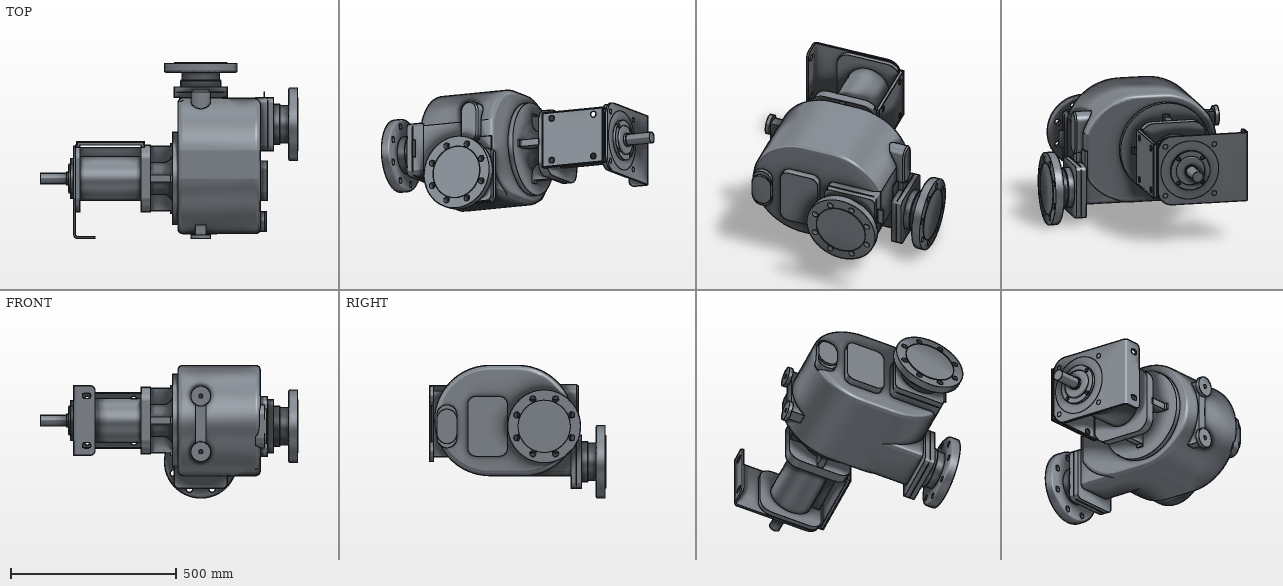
import cadquery as cq
import math


SHAFT_DIAMETER = 33
COLLAR_DIAMETER = 39
CAP_DIAMETER = 88
CAP_FILLET = 3
COVER_DIAMETER = 121
COLLAR_X = 79
CAP_X = 86
COVER_X = 92
COVER_SCREW_CIRCLE = 106
COVER_SCREW_DIAMETER = 12

BRACKET_X = 101
BRACKET_THICKNESS = 6
BRACKET_HALF_HEIGHT = 105.5
BRACKET_TOP_Y = 98
FOOT_Y = -182
FOOT_LENGTH = 65
BEND_RADIUS = 12
BRACKET_CORNER = 43
FOOT_CORNER = 16
FOOT_SLOT_LENGTH = 26
FOOT_SLOT_WIDTH = 16
FOOT_SLOT_X = 140
FOOT_SLOT_Z = 75

SPIGOT_DIAMETER = 180
STUD_DIAMETER = 15
STUD_OFFSET = 76
FLANGE_HALF_SIDE = 101
FLANGE_CORNER = 41
FRONT_FLANGE_X = BRACKET_X + BRACKET_THICKNESS
FRONT_FLANGE_THICKNESS = 12.5
BARREL_RADIUS = 66.5
WEB_OUTER_Y = 94
WEB_THICKNESS = 10
REAR_FLANGE_X = 305
REAR_FLANGE_END_X = 333

NECK_RADIUS = 49.5
NECK_END_X = 371
ADAPTER_DISC_X = 400
ADAPTER_DISC_RADIUS = 140
RIB_HALF_SPAN = 98
RIB_THICKNESS = 20
RIB_END_PAD = 8
RIB_END_PAD_X = 394

GUARD_X = 110
GUARD_END_X = 315
GUARD_OUTER_Y = 112
GUARD_HALF_HEIGHT = 84
GUARD_SHEET = 2.5
GUARD_TAB_LENGTH = 9
GUARD_TAB_Y = 90
GUARD_HOLE_DIAMETER = 18
GUARD_HOLE_Z = 64.5
GUARD_HOLE_INSET = 32

CASING_X = 416
CASING_END_X = 665
CASING_RADIUS = 167
CASING_WALL_Y = 243
UPPER_ARC_Y = 84
LOWER_ARC_Y = 100
CASING_FILLET = 15

PORT_X = 485
PAD_DIAMETER = 60
PAD_FACE_Y = FOOT_Y
PAD_BACK_Y = -170
PAD_TOP_Z = 74
PAD_BOTTOM_Z = -94
PAD_HOLE_DIAMETER = 12
PAD_HOLE_DEPTH = 20
STRIP_WIDTH = 31
STRIP_BACK_Y = -100

DISCHARGE_Z = -124.5
DISCHARGE_END_Y = 350
SUCTION_Y = 164
SUCTION_Z = -17.5
SUCTION_END_X = 779.5
PLATE_SIDE = 161
PLATE_CORNER = 16
PIPE_FLANGE_DIAMETER = 220
RAISED_FACE_DIAMETER = 158
RAISED_FACE_HEIGHT = 2
PIPE_FLANGE_THICKNESS = 29
PIPE_FLANGE_FILLET = 6
PIPE_BOLT_CIRCLE = 180
PIPE_BOLT_DIAMETER = 18
PIPE_BOLT_COUNT = 8
PIPE_DIAMETER = 114
HUB_DIAMETER = 122
HUB_CHAMFER = 2
DISCHARGE_HUB_Y = 277
DISCHARGE_HUB_END_Y = 297
DISCHARGE_PLATE_Y = 245.5
DISCHARGE_JOINT_Y = 260.5
SUCTION_HUB_X = 705
SUCTION_HUB_END_X = 725
SUCTION_JOINT_X = 686
JOINT_GROOVE = 1.5
DISCHARGE_NECK_WIDTH = 130
DISCHARGE_NECK_Y = 100
FILLER_DIAMETER = 58
FILLER_FACE_Y = 267
FILLER_TOP_Z = 109
FILLER_BOTTOM_Z = -21
FILLER_CHAMFER = 5
BRIDGE_WIDTH = 40
GASKET_X = 676
GASKET_THICKNESS = 2
GASKET_TAB_Y = 262
GASKET_TAB_HEIGHT = 52

REAR_BOSS_Y = -7
REAR_BOSS_WIDTH = 120
REAR_BOSS_HEIGHT = 181
REAR_BOSS_CORNER = 25
REAR_BOSS_END_X = 686
PLUG_Y = -130
PLUG_WIDTH = 60
PLUG_BASE_HEIGHT = 130
PLUG_TOP_HEIGHT = 104
PLUG_BASE_X = 677
PLUG_END_X = 683.5


def x_plane(x):
    """Workplane at the given X, with local axes Y and Z, facing +X."""
    return cq.Workplane("YZ", origin=(x, 0, 0))


def y_plane(y):
    """Workplane at the given Y, with local axes -X and Z, facing +Y."""
    return cq.Workplane(cq.Plane(origin=(0, y, 0), xDir=(-1, 0, 0), normal=(0, 1, 0)))


def x_disc(start, end, diameter):
    return x_plane(start).circle(diameter / 2).extrude(end - start)


def box(x0, x1, y0, y1, z0, z1):
    return cq.Workplane("XY").box(x1 - x0, y1 - y0, z1 - z0, centered=False).translate((x0, y0, z0))


def square_flange(start, end):
    """Rounded square flange of the bearing housing, centred on the shaft axis."""
    side = 2 * FLANGE_HALF_SIDE
    return x_plane(start).rect(side, side).extrude(end - start).edges("|X").fillet(FLANGE_CORNER)


def studs(diameter, start, end):
    """Four round bars at the corners of the bearing housing flange."""
    return x_plane(start).rect(2 * STUD_OFFSET, 2 * STUD_OFFSET, forConstruction=True).vertices() \
        .circle(diameter / 2).extrude(end - start)


def make_shaft_end():
    shaft = x_disc(0, COVER_X, SHAFT_DIAMETER)
    collar = x_disc(COLLAR_X, COVER_X, COLLAR_DIAMETER)
    cap = x_disc(CAP_X, COVER_X, CAP_DIAMETER).faces("<X").edges().fillet(CAP_FILLET)
    cover = x_disc(COVER_X, BRACKET_X, COVER_DIAMETER)
    screws = x_plane(COVER_X).polarArray(COVER_SCREW_CIRCLE / 2, 45, 360, 4) \
        .circle(COVER_SCREW_DIAMETER / 2).extrude(BRACKET_X - COVER_X)
    return cover.cut(screws).union(cap).union(collar).union(shaft)


def make_bearing_housing():
    front_flange_end = FRONT_FLANGE_X + FRONT_FLANGE_THICKNESS
    spigot = x_disc(BRACKET_X, FRONT_FLANGE_X, SPIGOT_DIAMETER)
    barrel = x_disc(FRONT_FLANGE_X, REAR_FLANGE_END_X, 2 * BARREL_RADIUS)
    web = box(front_flange_end, REAR_FLANGE_X, 0, WEB_OUTER_Y, -WEB_THICKNESS / 2, WEB_THICKNESS / 2)
    return (
        spigot.union(studs(STUD_DIAMETER, BRACKET_X, FRONT_FLANGE_X))
        .union(square_flange(FRONT_FLANGE_X, front_flange_end))
        .union(barrel)
        .union(web)
        .union(square_flange(REAR_FLANGE_X, REAR_FLANGE_END_X))
    )


def make_adapter():
    """Flared neck, four ribs and the disc that closes the casing."""
    flare_radius = ADAPTER_DISC_X - NECK_END_X
    neck_and_disc = (
        cq.Workplane("XY")
        .moveTo(REAR_FLANGE_END_X, 0)
        .lineTo(REAR_FLANGE_END_X, NECK_RADIUS)
        .lineTo(NECK_END_X, NECK_RADIUS)
        .radiusArc((ADAPTER_DISC_X, NECK_RADIUS + flare_radius), -flare_radius)
        .lineTo(ADAPTER_DISC_X, ADAPTER_DISC_RADIUS)
        .lineTo(CASING_X, ADAPTER_DISC_RADIUS)
        .lineTo(CASING_X, 0)
        .close()
        .revolve(360, (0, 0, 0), (1, 0, 0))
    )
    adapter = neck_and_disc
    half = RIB_THICKNESS / 2
    for quarter in range(4):
        rib = box(REAR_FLANGE_END_X, ADAPTER_DISC_X, 0, RIB_HALF_SPAN, -half, half)
        pad = box(RIB_END_PAD_X, ADAPTER_DISC_X, 0, RIB_HALF_SPAN + RIB_END_PAD, -half, half)
        adapter = adapter.union(rib.union(pad).rotate((0, 0, 0), (1, 0, 0), 90 * quarter))
    return adapter


def wall_half_height(arc_y):
    """Height, from the axis level, at which an arc of the casing meets its flat +Y wall."""
    return math.sqrt(CASING_RADIUS**2 - (CASING_WALL_Y - arc_y) ** 2)


def make_casing():
    upper_z = wall_half_height(UPPER_ARC_Y)
    lower_z = wall_half_height(LOWER_ARC_Y)
    bow = CASING_RADIUS * math.sin(math.radians(45))
    return (
        x_plane(CASING_X)
        .moveTo(0, -CASING_RADIUS)
        .threePointArc((-CASING_RADIUS, 0), (0, CASING_RADIUS))
        .lineTo(UPPER_ARC_Y, CASING_RADIUS)
        .threePointArc((UPPER_ARC_Y + bow, bow), (CASING_WALL_Y, upper_z))
        .lineTo(CASING_WALL_Y, -lower_z)
        .threePointArc((LOWER_ARC_Y + bow, -bow), (LOWER_ARC_Y, -CASING_RADIUS))
        .close()
        .extrude(CASING_END_X - CASING_X)
        .faces("<X or >X")
        .edges()
        .fillet(CASING_FILLET)
    )


def make_side_pads():
    """Upright strip on the -Y side with a round pad near each end."""
    pad_centres = [(-PORT_X, PAD_TOP_Z), (-PORT_X, PAD_BOTTOM_Z)]
    reach = STRIP_WIDTH / 2
    strip = box(
        PORT_X - reach, PORT_X + reach, PAD_BACK_Y, STRIP_BACK_Y, PAD_BOTTOM_Z - reach, PAD_TOP_Z + reach
    )
    pads = y_plane(PAD_FACE_Y).pushPoints(pad_centres).circle(PAD_DIAMETER / 2).extrude(PAD_BACK_Y - PAD_FACE_Y)
    holes = y_plane(PAD_FACE_Y).pushPoints(pad_centres).circle(PAD_HOLE_DIAMETER / 2).extrude(PAD_HOLE_DEPTH)
    return strip.union(pads), holes


def make_pipe(plane_at, centre, plate, joint, hub, hub_end, end):
    """Square plates, hub, pipe and bolted flange along one axis, from `plate` out to `end`."""

    def disc(start, stop, diameter):
        return plane_at(start).center(*centre).circle(diameter / 2).extrude(stop - start)

    def square(start, stop, side):
        return plane_at(start).center(*centre).rect(side, side).extrude(stop - start)

    face = end - RAISED_FACE_HEIGHT
    flange_start = face - PIPE_FLANGE_THICKNESS + RAISED_FACE_HEIGHT
    groove_side = PLATE_SIDE - 2 * JOINT_GROOVE
    plates = square(plate, hub, PLATE_SIDE)
    corner_axis = "|Y" if plane_at is y_plane else "|X"
    plates = plates.edges(corner_axis).fillet(PLATE_CORNER)
    joint_end = joint + JOINT_GROOVE
    groove = square(joint, joint_end, PLATE_SIDE + 2 * JOINT_GROOVE).cut(square(joint, joint_end, groove_side))
    bolts = (
        plane_at(flange_start)
        .center(*centre)
        .polarArray(PIPE_BOLT_CIRCLE / 2, 180 / PIPE_BOLT_COUNT, 360, PIPE_BOLT_COUNT)
        .circle(PIPE_BOLT_DIAMETER / 2)
        .extrude(PIPE_FLANGE_THICKNESS)
    )
    inner_side = "<" + corner_axis[-1]
    outer_side = ">" + corner_axis[-1]
    flange = disc(flange_start, face, PIPE_FLANGE_DIAMETER)
    flange = flange.faces(inner_side).edges().fillet(PIPE_FLANGE_FILLET)
    hub_ring = disc(hub, hub_end, HUB_DIAMETER).faces(outer_side).edges().chamfer(HUB_CHAMFER)
    return (
        plates.cut(groove)
        .union(hub_ring)
        .union(disc(hub, flange_start, PIPE_DIAMETER))
        .union(flange.cut(bolts))
        .union(disc(face, end, RAISED_FACE_DIAMETER))
    )


def make_discharge():
    pipe = make_pipe(
        y_plane, (-PORT_X, DISCHARGE_Z), DISCHARGE_PLATE_Y, DISCHARGE_JOINT_Y,
        DISCHARGE_HUB_Y, DISCHARGE_HUB_END_Y, DISCHARGE_END_Y,
    )
    half = DISCHARGE_NECK_WIDTH / 2
    neck = box(PORT_X - half, PORT_X + half, DISCHARGE_NECK_Y, DISCHARGE_PLATE_Y, -CASING_RADIUS, 0)
    neck = neck.edges("|Y and <Z").fillet(CASING_FILLET)
    return pipe.union(neck)


def make_filler():
    """Upright round-ended boss above the discharge port."""
    height = FILLER_TOP_Z - FILLER_BOTTOM_Z
    middle_z = (FILLER_TOP_Z + FILLER_BOTTOM_Z) / 2
    boss = (
        y_plane(UPPER_ARC_Y)
        .center(-PORT_X, middle_z)
        .slot2D(height, FILLER_DIAMETER, 90)
        .extrude(FILLER_FACE_Y - UPPER_ARC_Y)
        .faces(">Y")
        .edges()
        .chamfer(FILLER_CHAMFER)
    )
    half = BRIDGE_WIDTH / 2
    bridge = box(PORT_X - half, PORT_X + half, UPPER_ARC_Y, DISCHARGE_JOINT_Y, DISCHARGE_Z, middle_z)
    return boss.union(bridge)


def make_suction():
    pipe = make_pipe(
        x_plane, (SUCTION_Y, SUCTION_Z), CASING_END_X - CASING_FILLET, SUCTION_JOINT_X,
        SUCTION_HUB_X, SUCTION_HUB_END_X, SUCTION_END_X,
    )
    half = GASKET_TAB_HEIGHT / 2
    tab = box(
        GASKET_X, GASKET_X + GASKET_THICKNESS, SUCTION_Y, GASKET_TAB_Y, SUCTION_Z - half, SUCTION_Z + half
    )
    return pipe.union(tab)


def make_rear_bosses():
    start = CASING_END_X - CASING_FILLET
    boss = x_plane(start).center(REAR_BOSS_Y, SUCTION_Z).rect(REAR_BOSS_WIDTH, REAR_BOSS_HEIGHT)
    boss = boss.extrude(REAR_BOSS_END_X - start).edges("|X").fillet(REAR_BOSS_CORNER)
    for height, end in ((PLUG_BASE_HEIGHT, PLUG_BASE_X), (PLUG_TOP_HEIGHT, PLUG_END_X)):
        plug = x_plane(start).center(PLUG_Y, SUCTION_Z).slot2D(height, PLUG_WIDTH, 90).extrude(end - start)
        boss = boss.union(plug)
    return boss


def make_pump():
    pads, pad_holes = make_side_pads()
    return (
        make_casing()
        .union(make_adapter())
        .union(make_bearing_housing())
        .union(make_shaft_end())
        .union(pads)
        .union(make_discharge())
        .union(make_filler())
        .union(make_suction())
        .union(make_rear_bosses())
        .cut(pad_holes)
    )


def make_bracket():
    """Bent sheet around the bearing housing spigot, with a slotted foot."""
    foot_end_x = BRACKET_X + FOOT_LENGTH
    height = 2 * BRACKET_HALF_HEIGHT
    inner_x = BRACKET_X + BRACKET_THICKNESS
    inner_y = FOOT_Y + BRACKET_THICKNESS
    sheet = box(BRACKET_X, foot_end_x, FOOT_Y, BRACKET_TOP_Y, -BRACKET_HALF_HEIGHT, BRACKET_HALF_HEIGHT)
    sheet = sheet.edges("|Z and <X and <Y").fillet(BEND_RADIUS)
    hollow = cq.Workplane("XY").box(FOOT_LENGTH, BRACKET_TOP_Y - inner_y, height, centered=(False, False, True))
    hollow = hollow.edges("|Z and <X and <Y").fillet(BEND_RADIUS - BRACKET_THICKNESS)
    bracket = sheet.cut(hollow.translate((inner_x, inner_y, 0)))
    bracket = bracket.edges("|X and >Y").fillet(BRACKET_CORNER)
    bracket = bracket.edges("|Y and >X").fillet(FOOT_CORNER)
    slots = (
        y_plane(FOOT_Y)
        .pushPoints([(-FOOT_SLOT_X, FOOT_SLOT_Z), (-FOOT_SLOT_X, -FOOT_SLOT_Z)])
        .slot2D(FOOT_SLOT_LENGTH, FOOT_SLOT_WIDTH)
        .extrude(BRACKET_THICKNESS)
    )
    spigot_hole = x_disc(BRACKET_X, inner_x, SPIGOT_DIAMETER)
    return bracket.cut(slots).cut(spigot_hole).cut(studs(STUD_DIAMETER, BRACKET_X, inner_x))


def make_guard():
    """Shallow sheet tray resting on the two bearing housing flanges, open towards the shaft."""
    inner_x = GUARD_X + GUARD_SHEET
    inner_end_x = GUARD_END_X - GUARD_SHEET
    inner_y = GUARD_OUTER_Y - GUARD_SHEET
    inner_z = GUARD_HALF_HEIGHT - GUARD_SHEET
    tray = box(
        GUARD_X, GUARD_END_X, FLANGE_HALF_SIDE, GUARD_OUTER_Y, -GUARD_HALF_HEIGHT, GUARD_HALF_HEIGHT
    )
    guard = tray.cut(box(inner_x, inner_end_x, FLANGE_HALF_SIDE, inner_y, -inner_z, inner_z))
    for tab_x in (GUARD_X, GUARD_END_X - GUARD_TAB_LENGTH):
        for tab_z in (-GUARD_HALF_HEIGHT, inner_z):
            tab = box(
                tab_x, tab_x + GUARD_TAB_LENGTH, GUARD_TAB_Y, FLANGE_HALF_SIDE, tab_z, tab_z + GUARD_SHEET
            )
            guard = guard.union(tab)
    hole_centres = [
        (-x, z)
        for x in (GUARD_X + GUARD_HOLE_INSET, GUARD_END_X - GUARD_HOLE_INSET)
        for z in (-GUARD_HOLE_Z, GUARD_HOLE_Z)
    ]
    holes = y_plane(inner_y).pushPoints(hole_centres).circle(GUARD_HOLE_DIAMETER / 2).extrude(GUARD_SHEET)
    flanges = square_flange(FRONT_FLANGE_X, FRONT_FLANGE_X + FRONT_FLANGE_THICKNESS).union(
        square_flange(REAR_FLANGE_X, REAR_FLANGE_END_X)
    )
    return guard.cut(holes).cut(flanges)


pump = make_pump()
bracket = make_bracket()
guard = make_guard()
result = cq.Compound.makeCompound([pump.val(), bracket.val(), guard.val()])